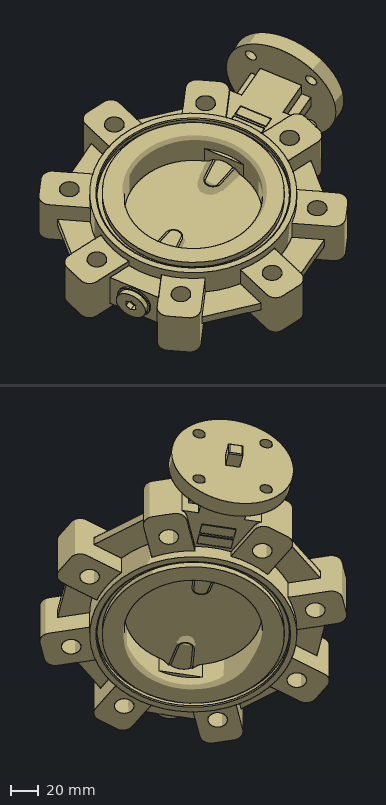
import cadquery as cq
import math


overall_length = 265.7

ring_radius = 75.0
ring_width = 52.0
groove_outer_radius = 69.5
groove_depth = 4.3
groove_chamfer = 0.8
seat_radius = 66.0
seat_width = 53.7
bore_radius = 50.0
bore_round = 5.5
pad_distance = 47.3
pad_height = 33.5

lug_count = 8
lug_pitch = 360 / lug_count
lug_end = 111.5
lug_width = 32.0
lug_height = 39.0
lug_corner = 8.2
bolt_circle_radius = 90.0
bolt_hole_diameter = 14.0
web_distance = 95.6
web_thickness = 7.5

support_height = 29.2
support_overlap = 2.7
neck_shoulder = 106.0
foot_distance = 90.0
neck_width = 34.0
wing_width = 49.0
wing_height = 10.4

flange_diameter = 90.0
flange_thickness = 12.5
flange_face = 147.0
flange_hole_offset = 24.7
flange_hole_diameter = 9.0
stem_width = 10.5
stem_chamfer = 0.8

lug_angle = math.radians(lug_pitch / 2)
lowest_lug_point = (
    (lug_end - lug_corner) * math.cos(lug_angle)
    + (lug_width / 2 - lug_corner) * math.sin(lug_angle)
    + lug_corner
)
stem_end = overall_length - lowest_lug_point

plate_width = 25.2
plate_length = 8.2
plate_thickness = 0.8
plate_centers = (92.0, 81.5)

plug_end = 95.6
washer_radius = 13.3
washer_thickness = 1.3
plug_radius = 12.0
socket_across_flats = 8.0
socket_depth = 4.8

disc_center_half = 4.8
disc_edge_half = 2.7
hub_root_radius = 11.5
hub_shoulder_radius = 10.0
hub_shoulder = 28.2
hub_nose = 22.3
hub_nose_round = 5.3
skirt_base = 1.3
skirt_root_half = 16.5
skirt_nose_half = 13.3
skirt_nose = 17.0
skirt_taper = 42
skirt_height = 7.5
skirt_fillet = 8.0


def cylinder_along_y(radius, start, end):
    """Cylinder about the Y axis between two Y positions."""
    return cq.Workplane("XZ", origin=(0, start, 0)).circle(radius).extrude(start - end)


def box_along_y(width, start, end, height):
    """Box centred on the Y axis between two Y positions."""
    return cq.Workplane("XY").box(width, end - start, height).translate((0, (start + end) / 2, 0))


def make_ring():
    """Solid round body with raised seats and a groove on both faces."""
    ring = cq.Workplane("XY").circle(ring_radius).extrude(ring_width / 2, both=True)
    groove_floor = ring_width / 2 - groove_depth
    groove = (
        cq.Workplane("XZ")
        .moveTo(seat_radius, groove_floor)
        .lineTo(groove_outer_radius, groove_floor)
        .lineTo(groove_outer_radius, ring_width / 2 - groove_chamfer)
        .lineTo(groove_outer_radius + groove_chamfer, ring_width / 2)
        .lineTo(seat_radius, ring_width / 2)
        .close()
        .revolve(360, (0, 0, 0), (0, 1, 0))
    )
    seat = cq.Workplane("XY").circle(seat_radius).extrude(seat_width / 2, both=True)
    return ring.cut(groove).cut(groove.mirror("XY")).union(seat)


def make_lugs():
    """Radial bolt lugs with rounded outer corners."""
    lug = (
        cq.Workplane("XY")
        .box(lug_end - seat_radius, lug_width, lug_height)
        .translate(((lug_end + seat_radius) / 2, 0, 0))
        .edges("|Z and >X")
        .fillet(lug_corner)
    )
    lugs = cq.Workplane("XY")
    for i in range(lug_count):
        lugs = lugs.union(lug.rotate((0, 0, 0), (0, 0, 1), (i + 0.5) * lug_pitch))
    return lugs


def make_bolt_holes():
    """Through holes of all the lugs."""
    return (
        cq.Workplane("XY")
        .polarArray(bolt_circle_radius, lug_pitch / 2, 360, lug_count)
        .circle(bolt_hole_diameter / 2)
        .extrude(lug_height, both=True)
    )


def sector_block(distance, height):
    """Block on +Y from the ring outwards, with its sides buried in the two next lugs."""
    side_offset = lug_width / 4 / math.cos(lug_angle)
    inner_half = seat_radius * math.tan(lug_angle) - side_offset
    outer_half = distance * math.tan(lug_angle) - side_offset
    return (
        cq.Workplane("XY")
        .polyline([
            (-inner_half, seat_radius),
            (inner_half, seat_radius),
            (outer_half, distance),
            (-outer_half, distance),
        ])
        .close()
        .extrude(height / 2, both=True)
    )


def make_webs():
    """Thin webs between the lugs, except on the stem axis."""
    web = sector_block(web_distance, web_thickness)
    webs = cq.Workplane("XY")
    for i in range(lug_count):
        if i % (lug_count // 2) != 0:
            webs = webs.union(web.rotate((0, 0, 0), (0, 0, 1), i * lug_pitch))
    return webs


def make_neck():
    """Neck block, cross-shaped neck, drilled actuator flange, stem and name plates."""
    neck = sector_block(neck_shoulder, support_height)
    neck_start = neck_shoulder - support_overlap
    neck = neck.union(box_along_y(neck_width, neck_start, flange_face, support_height))
    neck = neck.union(box_along_y(wing_width, neck_start, flange_face, wing_height))

    flange = cylinder_along_y(flange_diameter / 2, flange_face - flange_thickness, flange_face)
    holes = (
        cq.Workplane("XZ", origin=(0, flange_face, 0))
        .rect(2 * flange_hole_offset, 2 * flange_hole_offset, forConstruction=True)
        .vertices()
        .circle(flange_hole_diameter / 2)
        .extrude(flange_thickness)
    )
    neck = neck.union(flange.cut(holes))

    stem = box_along_y(stem_width, flange_face - flange_thickness, stem_end, stem_width)
    neck = neck.union(stem.faces(">Y").chamfer(stem_chamfer))

    for center in plate_centers:
        plate = box_along_y(
            plate_width,
            center - plate_length / 2,
            center + plate_length / 2,
            support_height + 2 * plate_thickness,
        )
        neck = neck.union(plate)
    return neck


def make_foot():
    """Lower support block with the bottom plug and its hexagon socket."""
    foot = sector_block(foot_distance, support_height).mirror("XZ")
    washer_end = foot_distance + washer_thickness
    washer = cylinder_along_y(washer_radius, -washer_end, -foot_distance)
    plug = cylinder_along_y(plug_radius, -plug_end, -foot_distance)
    socket = (
        cq.Workplane("XZ", origin=(0, -plug_end, 0))
        .polygon(6, socket_across_flats, circumscribed=True)
        .extrude(-socket_depth)
    )
    return foot.union(washer).union(plug).cut(socket)


def make_bore():
    """Through bore with rounded mouths and flat pads left standing at the stem ends."""
    half = seat_width / 2
    bore = (
        cq.Workplane("XZ")
        .moveTo(0, -half)
        .lineTo(bore_radius + bore_round, -half)
        .radiusArc((bore_radius, bore_round - half), bore_round)
        .lineTo(bore_radius, half - bore_round)
        .radiusArc((bore_radius + bore_round, half), bore_round)
        .lineTo(0, half)
        .close()
        .revolve(360, (0, 0, 0), (0, 1, 0))
    )
    pad = box_along_y(2 * bore_radius, pad_distance, ring_radius, pad_height)
    return bore.cut(pad).cut(pad.mirror("XZ"))


def make_hub_skirt():
    """Tapered foot of a hub, standing on the upper face of the disc on the +Y side."""
    skirt_back = pad_distance + skirt_height
    return (
        cq.Workplane("XY", origin=(0, 0, skirt_base))
        .moveTo(-skirt_root_half, skirt_back)
        .lineTo(-skirt_nose_half, hub_shoulder)
        .threePointArc((0, skirt_nose), (skirt_nose_half, hub_shoulder))
        .lineTo(skirt_root_half, skirt_back)
        .close()
        .extrude(skirt_height, taper=skirt_taper)
    )


def make_hub_barrel():
    """Cone about the Y axis with a rounded nose, on the +Y side."""
    return (
        cq.Workplane("XY")
        .moveTo(0, hub_nose)
        .lineTo(hub_shoulder_radius - hub_nose_round, hub_nose)
        .threePointArc(
            (
                hub_shoulder_radius - hub_nose_round * (1 - math.sqrt(0.5)),
                hub_shoulder - (hub_shoulder - hub_nose) * math.sqrt(0.5),
            ),
            (hub_shoulder_radius, hub_shoulder),
        )
        .lineTo(hub_root_radius, pad_distance)
        .lineTo(0, pad_distance)
        .close()
        .revolve(360, (0, 0, 0), (0, 1, 0))
    )


def make_disc():
    """Domed disc with a tapered, rounded hub at each stem end, alike on both faces."""
    dome_drop = disc_center_half - disc_edge_half
    dome_radius = (bore_radius**2 + dome_drop**2) / (2 * dome_drop)
    disc_rim_half = disc_center_half - dome_radius + math.sqrt(dome_radius**2 - seat_radius**2)
    half_disc = (
        cq.Workplane("XZ")
        .lineTo(seat_radius, 0)
        .lineTo(seat_radius, disc_rim_half)
        .radiusArc((0, disc_center_half), -dome_radius)
        .close()
        .revolve(360, (0, 0, 0), (0, 1, 0))
    )

    skirt = make_hub_skirt()
    half_disc = half_disc.union(skirt).union(skirt.mirror("XZ"))

    feet = cq.selectors.BoxSelector(
        (-seat_radius, -seat_radius + skirt_base, skirt_base),
        (seat_radius, seat_radius - skirt_base, disc_center_half),
        boundingbox=True,
    )
    half_disc = half_disc.edges(feet).fillet(skirt_fillet)

    barrel = make_hub_barrel()
    disc = half_disc.union(half_disc.mirror("XY"))
    return disc.union(barrel).union(barrel.mirror("XZ"))


result = make_ring().union(make_lugs()).union(make_webs()).union(make_neck()).union(make_foot())
result = result.cut(make_bolt_holes()).cut(make_bore().cut(make_disc()))